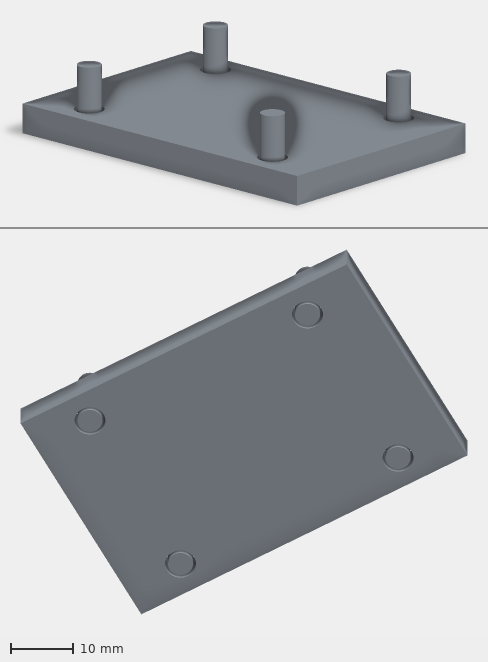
import cadquery as cq

plate_length = 60.0
plate_width = 40.0
plate_thickness = 5.0

pin_diameter = 4.0
hole_diameter = 5.0
pin_height = 12.5
pin_spacing_x = 40.0
pin_spacing_y = 30.0

pin_centers = [
    (side_x * pin_spacing_x / 2, side_y * pin_spacing_y / 2)
    for side_x in (-1, 1)
    for side_y in (-1, 1)
]


def make_plate():
    """Flat plate resting on Z = 0, with a through hole around each pin."""
    plate = cq.Workplane("XY").box(
        plate_length, plate_width, plate_thickness, centered=(True, True, False)
    )
    return plate.faces(">Z").workplane().pushPoints(pin_centers).hole(hole_diameter)


def make_pin(center):
    """Plain round pin standing clear inside its hole, flush with the plate underside."""
    return cq.Workplane("XY").center(*center).circle(pin_diameter / 2).extrude(pin_height)


plate = make_plate()
pins = [make_pin(center) for center in pin_centers]

result = cq.Compound.makeCompound([plate.val(), *[pin.val() for pin in pins]])